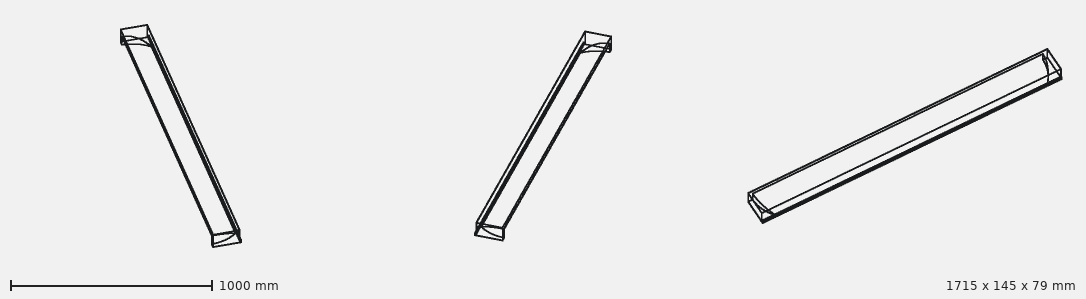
import cadquery as cq

length = 1715.0
depth = 145.0
height = 79.0

lip_depth = 9.0
lip_height = 10.0

wall = 25.0

cavity_inset = height - wall
cavity_depth = depth - lip_depth

arc_radius = (cavity_depth**2 + cavity_inset**2) / (2 * cavity_inset)
mid_depth = cavity_depth / 2
mid_inset = arc_radius - (arc_radius**2 - mid_depth**2) ** 0.5

front_y = -depth / 2
mid_y = front_y + mid_depth
back_y = front_y + cavity_depth
bottom_z = -height / 2


def block(y_start, y_end, block_height):
    """Full-length block standing on the bottom plane."""
    return (
        cq.Workplane("XY", origin=(0, y_start, bottom_z))
        .box(length, y_end - y_start, block_height, centered=(True, False, False))
    )


def space_between_ends():
    """Space between the two curved end walls, through the full height."""
    opening_x = length / 2 - wall
    mid_x = opening_x - mid_inset
    back_x = opening_x - cavity_inset
    return (
        cq.Workplane("XY", origin=(0, 0, bottom_z))
        .moveTo(-opening_x, front_y)
        .lineTo(opening_x, front_y)
        .threePointArc((mid_x, mid_y), (back_x, back_y))
        .lineTo(-back_x, back_y)
        .threePointArc((-mid_x, mid_y), (-opening_x, front_y))
        .close()
        .extrude(height)
    )


def space_below_ceiling():
    """Space below the curved ceiling, along the whole length."""
    opening_z = bottom_z + cavity_inset
    return (
        cq.Workplane("YZ", origin=(-length / 2, 0, 0))
        .moveTo(front_y, bottom_z)
        .lineTo(front_y, opening_z)
        .threePointArc((mid_y, opening_z - mid_inset), (back_y, bottom_z))
        .close()
        .extrude(length)
    )


main_block = block(front_y, back_y, height)
lip = block(back_y, depth / 2, lip_height)
cavity = space_between_ends().intersect(space_below_ceiling())
result = main_block.union(lip).cut(cavity)